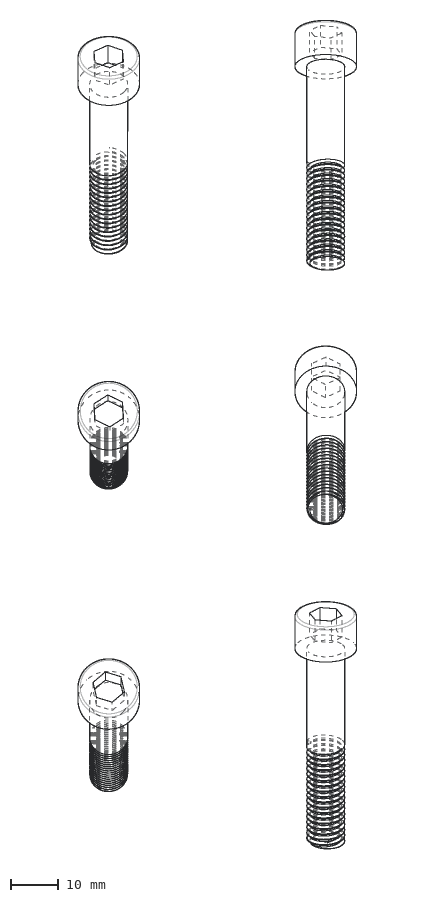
import cadquery as cq
import math

SHANK_DIAMETER = 8.0
SHANK_LENGTH = 45.0
HEAD_DIAMETER = 13.0
HEAD_HEIGHT = SHANK_DIAMETER
HEAD_EDGE_RADIUS = 0.5
SOCKET_ACROSS_FLATS = 6.0
SOCKET_DEPTH = 5.0
HEXAGON_SIDES = 6
HEXAGON_HALF_ANGLE = 180 / HEXAGON_SIDES

PITCH = 1.25
FLANK_ANGLE = 30.0
CREST_WIDTH = PITCH / 8
ROOT_WIDTH = PITCH / 4
GROOVE_END_HEIGHT = 22.55
GROOVE_END_ANGLE = 145.0
GROOVE_OVERCUT = 0.05

SHANK_RADIUS = SHANK_DIAMETER / 2
TOTAL_LENGTH = SHANK_LENGTH + HEAD_HEIGHT
FLANK_SLOPE = math.tan(math.radians(FLANK_ANGLE))
GROOVE_WIDTH = PITCH - CREST_WIDTH
ROOT_RADIUS = SHANK_RADIUS - (GROOVE_WIDTH - ROOT_WIDTH) / 2 / FLANK_SLOPE


def turn_about_axis(body, angle):
    return body.rotate((0, 0, 0), (0, 0, 1), angle)


def make_shank():
    return cq.Workplane("XY").circle(SHANK_RADIUS).extrude(SHANK_LENGTH)


def make_head():
    head_base = cq.Workplane("XY").workplane(offset=SHANK_LENGTH)
    head = head_base.circle(HEAD_DIAMETER / 2).extrude(HEAD_HEIGHT)
    return head.faces(">Z").edges().fillet(HEAD_EDGE_RADIUS)


def make_socket():
    """Hexagonal key socket with two flats facing +X and -X."""
    across_corners = SOCKET_ACROSS_FLATS / math.cos(math.radians(HEXAGON_HALF_ANGLE))
    socket = cq.Workplane("XY").polygon(HEXAGON_SIDES, across_corners).extrude(-SOCKET_DEPTH)
    socket = turn_about_axis(socket, HEXAGON_HALF_ANGLE)
    return socket.translate((0, 0, TOTAL_LENGTH))


def make_thread_groove():
    """Flat-bottomed V groove on a helix, starting below the tip and ending on the shank."""
    turns_along_shank = round(GROOVE_END_HEIGHT / PITCH)
    turns_below_tip = 1
    height = (turns_along_shank + turns_below_tip) * PITCH
    cutter_radius = SHANK_RADIUS + GROOVE_OVERCUT
    half_root = ROOT_WIDTH / 2
    half_mouth = half_root + (cutter_radius - ROOT_RADIUS) * FLANK_SLOPE
    profile = [
        (ROOT_RADIUS, -half_root),
        (cutter_radius, -half_mouth),
        (cutter_radius, half_mouth),
        (ROOT_RADIUS, half_root),
    ]
    helix = cq.Wire.makeHelix(PITCH, height, SHANK_RADIUS)
    groove = cq.Workplane("XZ").polyline(profile).close().sweep(cq.Workplane(obj=helix), isFrenet=True)
    groove = groove.translate((0, 0, GROOVE_END_HEIGHT - height))
    return turn_about_axis(groove, GROOVE_END_ANGLE)


threaded_shank = make_shank().cut(make_thread_groove())
result = threaded_shank.union(make_head()).cut(make_socket())